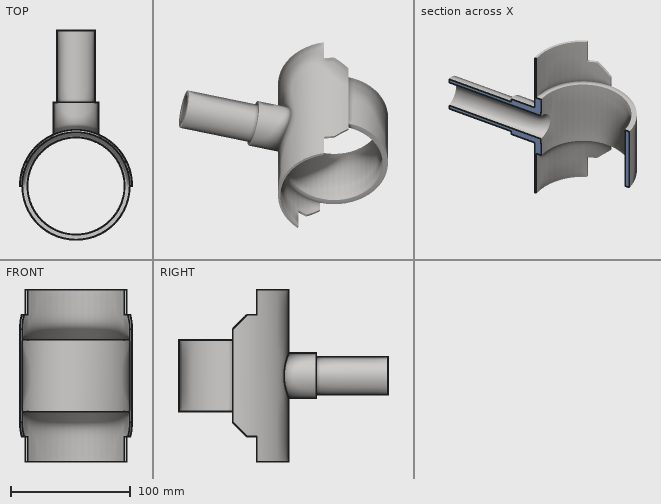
import cadquery as cq

ring_outer_radius = 45.0
ring_inner_radius = 40.5
ring_height = 60.0

saddle_thickness = 2.0
saddle_outer_radius = ring_outer_radius + saddle_thickness
saddle_height = 144.0
wing_height = 102.0
wing_start_y = 20.0
wing_chamfer = 12.0

socket_diameter = 38.0
socket_end_y = 70.0
tube_diameter = 32.0
tube_end_y = 130.0
bore_diameter = 24.0


def tube_along_z(outer_radius, inner_radius, height):
    """Hollow cylinder centred on the origin."""
    return (
        cq.Workplane("XY")
        .workplane(offset=-height / 2)
        .circle(outer_radius)
        .circle(inner_radius)
        .extrude(height)
    )


def rod_along_y(diameter, end_y):
    """Solid cylinder from the ring axis out to end_y."""
    return cq.Workplane("XZ").circle(diameter / 2).extrude(-end_y)


def make_saddle():
    """Thin shell trimmed to the stepped and chamfered side profile."""
    shell = tube_along_z(saddle_outer_radius, ring_outer_radius, saddle_height)
    half_height = saddle_height / 2
    half_wing = wing_height / 2
    half_edge = half_wing - wing_chamfer
    profile = (
        cq.Workplane("YZ")
        .moveTo(saddle_outer_radius, half_height)
        .lineTo(wing_start_y, half_height)
        .lineTo(wing_start_y, half_wing)
        .lineTo(wing_chamfer, half_wing)
        .lineTo(0, half_edge)
        .lineTo(0, -half_edge)
        .lineTo(wing_chamfer, -half_wing)
        .lineTo(wing_start_y, -half_wing)
        .lineTo(wing_start_y, -half_height)
        .lineTo(saddle_outer_radius, -half_height)
        .close()
        .extrude(saddle_outer_radius, both=True)
    )
    return shell.intersect(profile)


def make_handle():
    """Socket and tube, starting at the outside of the ring."""
    handle = rod_along_y(socket_diameter, socket_end_y).union(rod_along_y(tube_diameter, tube_end_y))
    ring_space = cq.Workplane("XY").circle(ring_outer_radius).extrude(ring_height / 2, both=True)
    return handle.cut(ring_space)


ring = tube_along_z(ring_outer_radius, ring_inner_radius, ring_height)
bore = rod_along_y(bore_diameter, tube_end_y)

result = ring.union(make_saddle()).union(make_handle()).cut(bore)